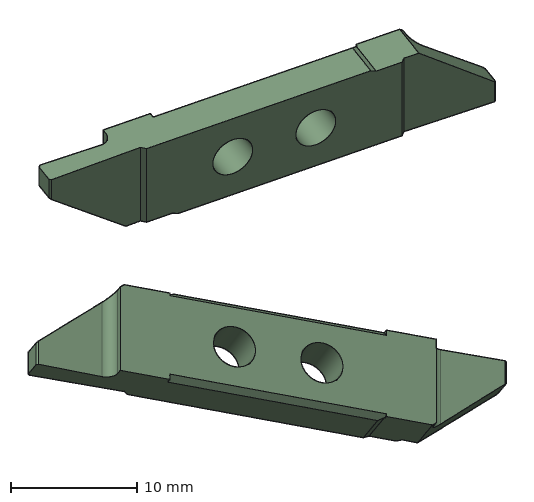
import cadquery as cq

length = 40.0
height = 8.0
thickness = 3.6
half_length = length / 2
half_height = height / 2

tip_height = 1.95
slant_length = 6.9
land_drop = 0.25
land_end = 11.35
land_ramp = 0.5

blade_tip_left = 1.4
blade_root_left = 1.5
blade_tip_right = 3.4
blade_root_right = 3.25
shoulder_distance = 6.55
shoulder_radius = 0.95
blade_right_length = 8.2
right_step = thickness - blade_root_right
tip_chamfer = 0.15

bevel = 0.5
bevel_end_distance = 10.8

hole_diameter = 3.55
hole_spacing = 7.45


def half_turn(points):
    """Return the points turned by 180 degrees about the origin."""
    return [(-a, -b) for a, b in points]


def side_prism():
    """Side outline in Y and Z, extruded through the thickness."""
    land_height = half_height - land_drop
    half_outline = [
        (half_length, -half_height),
        (half_length, tip_height - half_height),
        (half_length - slant_length, land_height),
        (half_length - land_end + land_ramp, land_height),
        (half_length - land_end, half_height),
    ]
    outline = half_outline + half_turn(half_outline)
    return cq.Workplane("YZ").polyline(outline).close().extrude(thickness)


def plan_prism():
    """Plan outline in X and Y, extruded through the height."""
    shoulder_y = half_length - shoulder_distance
    right_root_y = half_length - blade_right_length
    body_y = right_root_y - right_step
    root_y = shoulder_y + shoulder_radius
    tip_side_y = half_length - tip_chamfer
    half_plan = (
        cq.Workplane("XY", origin=(0, 0, -half_height))
        .lineTo(0, shoulder_y)
        .lineTo(blade_root_left - shoulder_radius, shoulder_y)
        .radiusArc((blade_root_left, root_y), -shoulder_radius)
        .lineTo(blade_tip_left, tip_side_y)
        .lineTo(blade_tip_left + tip_chamfer, half_length)
        .lineTo(blade_tip_right - tip_chamfer, half_length)
        .lineTo(blade_tip_right, tip_side_y)
        .lineTo(blade_root_right, right_root_y)
        .lineTo(thickness, body_y)
        .lineTo(thickness, 0)
        .close()
        .extrude(height)
    )
    return half_plan.union(half_plan.mirror("XZ"))


def edge_bevel(side):
    """Triangular cutter for the upper (+1) or lower (-1) edge of the -X face."""
    bevel_length = length - 2 * bevel_end_distance
    edge_z = side * half_height
    return (
        cq.Workplane("XZ", origin=(0, bevel_length / 2, 0))
        .polyline([(0, edge_z), (bevel, edge_z), (0, edge_z - side * bevel)])
        .close()
        .extrude(bevel_length)
    )


def mounting_holes():
    """Two cylinders running through the thickness."""
    return (
        cq.Workplane("YZ")
        .pushPoints([(-hole_spacing / 2, 0), (hole_spacing / 2, 0)])
        .circle(hole_diameter / 2)
        .extrude(thickness)
    )


result = side_prism().intersect(plan_prism()).cut(mounting_holes())
for side in (1, -1):
    result = result.cut(edge_bevel(side))